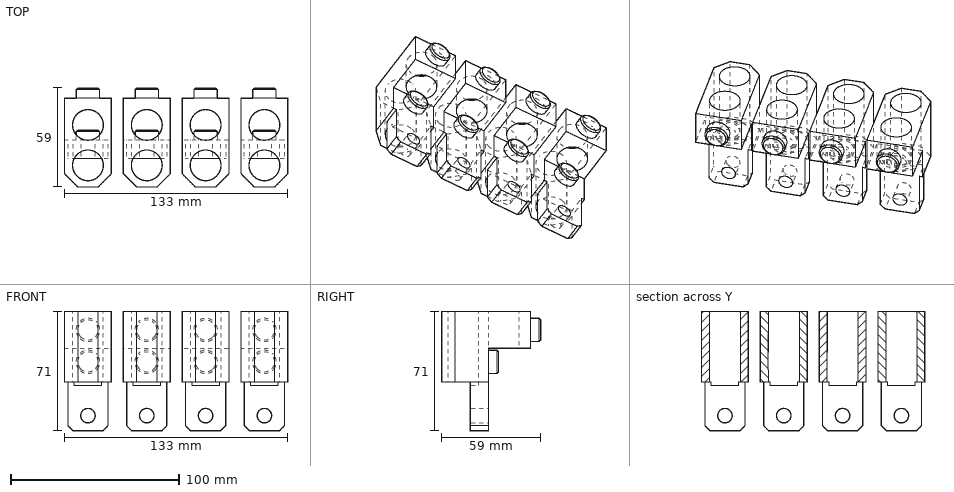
import cadquery as cq

terminal_count = 4
terminal_pitch = 35.0

block_width = 28.0
block_depth = 53.0
block_height = 42.0
front_corner_chamfer = 8.0
arm_height = 22.0
lower_depth = 28.0

bore_diameter = 18.2
front_bore_y = 13.0
rear_bore_y = 37.0
bore_depth_into_tab = 2.0

tab_width = 24.0
tab_thickness = 11.0
tab_length = 29.0
tab_chamfer = 3.0
tab_hole_diameter = 8.5
tab_hole_drop = 20.0

screw_diameter = 14.0
screw_height = 6.0
screw_chamfer = 1.0
upper_screw_z = block_height - arm_height / 2
lower_screw_z = block_height - 30.0


def make_block():
    """L-shaped block with a rear arm and chamfered front corners."""
    rear_overhang = block_depth - lower_depth
    block = (
        cq.Workplane("XY")
        .box(block_width, block_depth, block_height, centered=(True, False, False))
        .edges("|Z and <Y")
        .chamfer(front_corner_chamfer)
    )
    step = (
        cq.Workplane("XY")
        .box(block_width, rear_overhang, block_height - arm_height, centered=(True, False, False))
        .translate((0, lower_depth, 0))
    )
    return block.cut(step)


def make_tab():
    """Flat tab with chamfered lower corners and a bolt hole from front to back."""
    tab = (
        cq.Workplane("XY")
        .box(tab_width, tab_thickness, tab_length, centered=(True, False, False))
        .translate((0, lower_depth - tab_thickness, -tab_length))
        .edges("|Y and <Z")
        .chamfer(tab_chamfer)
    )
    bolt_hole = (
        cq.Workplane("XZ", origin=(0, lower_depth, -tab_hole_drop))
        .circle(tab_hole_diameter / 2)
        .extrude(tab_thickness)
    )
    return tab.cut(bolt_hole)


def make_screw_head(rear_face_y, center_z):
    """Round screw head standing on a rear face, chamfered at its outer rim."""
    return (
        cq.Workplane("XZ", origin=(0, rear_face_y, center_z))
        .circle(screw_diameter / 2)
        .extrude(-screw_height)
        .faces(">Y")
        .chamfer(screw_chamfer)
    )


def make_bore(center_y, bottom_z):
    """Vertical bore from the top of the block down to the given height."""
    return (
        cq.Workplane("XY", origin=(0, center_y, bottom_z))
        .circle(bore_diameter / 2)
        .extrude(block_height - bottom_z)
    )


def make_terminal():
    """Complete terminal; the front bore runs on past the block and notches the tab."""
    return (
        make_block()
        .union(make_tab())
        .cut(make_bore(front_bore_y, -bore_depth_into_tab))
        .cut(make_bore(rear_bore_y, block_height - arm_height))
        .union(make_screw_head(block_depth, upper_screw_z))
        .union(make_screw_head(lower_depth, lower_screw_z))
    )


terminal = make_terminal()
terminals = []
for index in range(terminal_count):
    terminal_x = (index - (terminal_count - 1) / 2) * terminal_pitch
    terminals.append(terminal.translate((terminal_x, 0, 0)).val())

result = cq.Compound.makeCompound(terminals)